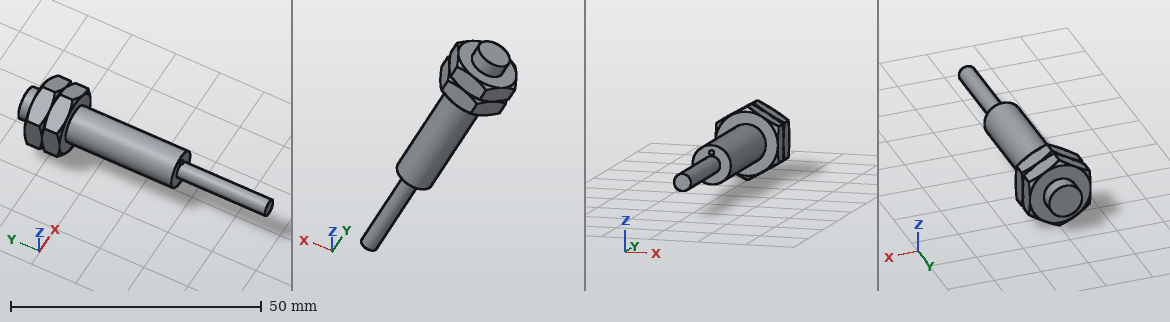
import cadquery as cq
import math

cable_length = 20.0
barrel_length = 24.0
nut_pair_length = 8.0
tip_length = 3.0
nut_length = nut_pair_length / 2

cable_diameter = 3.5
barrel_diameter = 8.0
tip_diameter = 7.0
nut_across_flats = 13.0
nut_across_corners = nut_across_flats / math.cos(math.pi / 6)
nut_chamfer_angle = math.radians(30)

lamp_diameter = 1.0
lamp_height = 2.5

nuts_start = barrel_length
tip_start = nuts_start + nut_pair_length


def cylinder_along_y(diameter, start, length):
    """Round bar on the part axis, running toward +Y from the given station."""
    return (
        cq.Workplane("XZ", origin=(0, start, 0))
        .circle(diameter / 2)
        .extrude(-length)
    )


def hex_nut(start):
    """Hexagonal nut with corners at +Z and -Z, its corners chamfered at both faces."""
    prism = (
        cq.Workplane("XZ", origin=(0, start, 0))
        .polygon(6, nut_across_corners)
        .extrude(-nut_length)
        .rotate((0, 0, 0), (0, 1, 0), 30)
    )
    face_radius = nut_across_flats / 2
    corner_radius = nut_across_corners / 2
    chamfer_depth = (corner_radius - face_radius) * math.tan(nut_chamfer_angle)
    end = start + nut_length
    chamfer_envelope = (
        cq.Workplane("XY")
        .moveTo(0, start)
        .lineTo(face_radius, start)
        .lineTo(corner_radius, start + chamfer_depth)
        .lineTo(corner_radius, end - chamfer_depth)
        .lineTo(face_radius, end)
        .lineTo(0, end)
        .close()
        .revolve(360, (0, 0, 0), (0, 1, 0))
    )
    return prism.intersect(chamfer_envelope)


cable = cylinder_along_y(cable_diameter, -cable_length, cable_length)
barrel = cylinder_along_y(barrel_diameter, 0, barrel_length + nut_pair_length)
tip = cylinder_along_y(tip_diameter, tip_start, tip_length)

lamp = cq.Workplane("XY").sphere(lamp_diameter / 2).translate((0, 0, lamp_height))

result = barrel.union(cable).union(tip).union(lamp)
for nut_index in range(2):
    result = result.union(hex_nut(nuts_start + nut_index * nut_length))